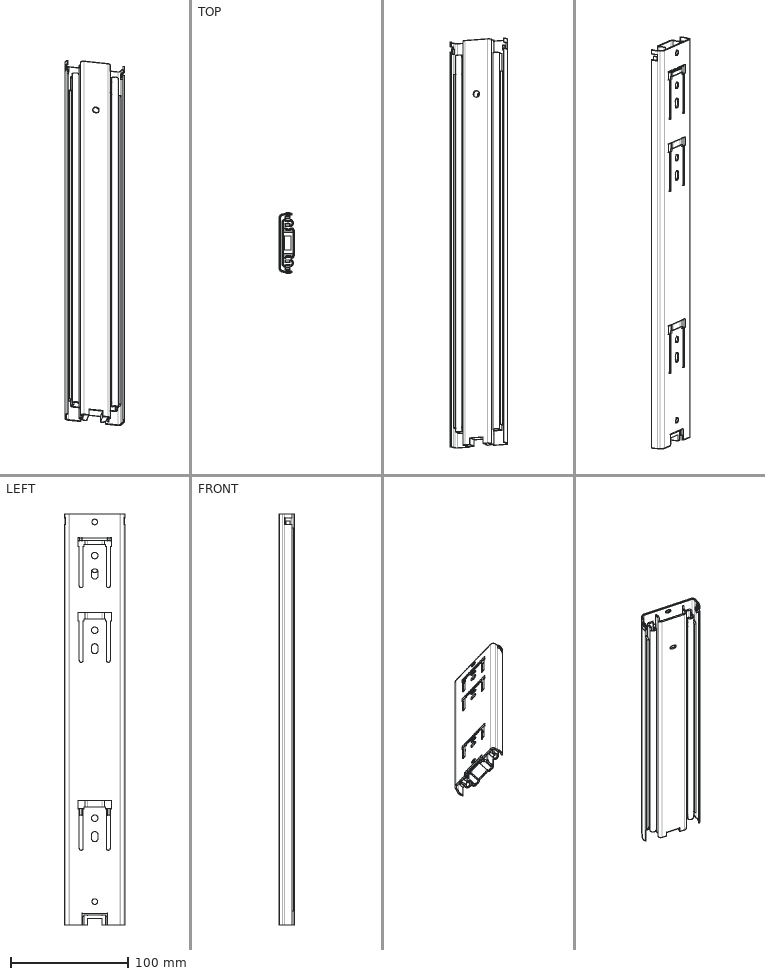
import cadquery as cq

depth = 12.9
width = 51.89
length = 350.0
sheet = 1.2
half_sheet = sheet / 2
half_width = width / 2

outer_web_end_y = 21.7
corner_mid = (1.25, 23.3)
corner_end = (2.8, 24.1)
raceway_start = (4.8, 24.55)
raceway_end = (10.4, raceway_start[1])

middle_web_x = 3.1
middle_bottom = 12.0
middle_top = 338.0
middle_notch_width = 29.0
middle_notch_floor = 327.4

inner_web_x = depth - half_sheet
inner_half_width = 13.0

tongue_tops = [106.0, 266.0, 329.6]
head_half_width = 14.2
head_height = 5.5
hook_height = 7.3
leg_length = 42.3
leg_centre_y = 11.6
leg_width = 3.2
round_hole_drop = 15.0
slot_hole_drop = 30.7
hole_diameter = 5.5
slot_hole_length = 8.5
bridge_base_half_width = 8.2
bridge_top_half_width = 6.3
bridge_rise = 0.5

top_hole_z = 343.2
bottom_hole_z = 20.0
end_hole_diameter = 4.8
through_hole_z = 303.0
outer_notch_width = 21.6
outer_notch_height = 10.0
end_notch_width = 12.0
end_notch_height = 5.5
leg_window_z = 96.3
leg_window_height = 5.5

window_bottom = 341.2
window_height = 5.4
window_start_x = 4.9
lip_stop_start_x = 6.0
lip_stop_width = 3.4
lip_stop_height = 3.0
lip_stop_y = 22.7
lip_stop_root_y = 25.0
lip_stop_overlap = 1.2

retainer_start_x = 5.0
retainer_width = 4.2
outer_retainer_thickness = 1.7
inner_retainer_thickness = 2.3
retainer_bottom = 16.0
retainer_length = 306.0
outer_retainer_y = 21.6
inner_retainer_y = 15.4
stop_top = 8.4
stop_tongue_width = 18.6
stop_body_width = 20.6
stop_chamfer = 1.5
stop_pocket_start_x = 4.5
stop_pocket_end_x = 10.1
stop_pocket_width = 12.2
stop_pocket_depth = 1.5


def box(x0, x1, y0, y1, z0, z1):
    return cq.Workplane("XY").box(x1 - x0, y1 - y0, z1 - z0, centered=False).translate((x0, y0, z0))


def central_box(x0, x1, wide, z0, z1):
    return box(x0, x1, -wide / 2, wide / 2, z0, z1)


def web_holes(diameter, heights, x0, x1):
    points = [(0, z) for z in heights]
    return cq.Workplane("YZ", origin=(x0, 0, 0)).pushPoints(points).circle(diameter / 2).extrude(x1 - x0)


def rail(half_path, height):
    """Sheet-metal channel: trace both mirrored halves of the mid-line and thicken it.

    half_path starts at the web; each later entry is (end,) for a line or (mid, end) for an arc.
    """
    points = [half_path[0]] + [step[-1] for step in half_path[1:]]

    def mirrored(point):
        return (point[0], -point[1])

    path = cq.Workplane("XY").moveTo(*mirrored(points[-1]))
    for index in range(len(points) - 1, 0, -1):
        step = half_path[index]
        end = mirrored(points[index - 1])
        if len(step) == 2:
            path = path.threePointArc(mirrored(step[0]), end)
        else:
            path = path.lineTo(*end)
    path = path.lineTo(*points[0])
    for step in half_path[1:]:
        if len(step) == 2:
            path = path.threePointArc(*step)
        else:
            path = path.lineTo(*step[0])
    return path.wire().offset2D(half_sheet).extrude(height)


def tongue_cut(top):
    """U-shaped cut that frees one mounting tongue, with the two holes in the tongue."""
    head_floor = top - head_height
    cut = central_box(0, sheet, 2 * head_half_width, head_floor, top)
    for side in (-1, 1):
        leg_y = side * leg_centre_y
        leg_bottom = top - leg_length
        hook_inner = 2 * leg_centre_y - head_half_width
        hook_edges = sorted((side * hook_inner, side * head_half_width))
        cut = cut.union(box(0, sheet, *hook_edges, top - hook_height, head_floor))
        leg_round_z = leg_bottom + leg_width / 2
        cut = cut.union(box(0, sheet, leg_y - leg_width / 2, leg_y + leg_width / 2, leg_round_z, head_floor))
        leg_end = cq.Workplane("YZ").center(leg_y, leg_round_z).circle(leg_width / 2).extrude(sheet)
        cut = cut.union(leg_end)
    cut = cut.union(web_holes(hole_diameter, [top - round_hole_drop], 0, sheet))
    slot = (
        cq.Workplane("YZ")
        .center(0, top - slot_hole_drop)
        .slot2D(slot_hole_length, hole_diameter, 90)
        .extrude(sheet)
    )
    return cut.union(slot)


def tongue_bridge(top):
    """Joggled end of the tongue: a strip in the head cut that dips inward.

    The highest strip stops level with the notch in the middle rail.
    """
    floor = top - head_height
    return (
        cq.Workplane("XY", origin=(0, 0, floor))
        .moveTo(0, -bridge_base_half_width)
        .lineTo(bridge_rise, -bridge_top_half_width)
        .lineTo(bridge_rise, bridge_top_half_width)
        .lineTo(0, bridge_base_half_width)
        .lineTo(sheet, bridge_base_half_width)
        .lineTo(sheet, -bridge_base_half_width)
        .close()
        .extrude(min(top, middle_notch_floor) - floor)
    )


def lip_stop(side):
    """Stop bent inward out of the lip window, rooted in the lip below the window."""
    end_x = lip_stop_start_x + lip_stop_width
    root_bottom = window_bottom - lip_stop_overlap
    blade_y = sorted((side * lip_stop_y, side * (lip_stop_y + sheet)))
    root_y = sorted((side * lip_stop_y, side * lip_stop_root_y))
    blade = box(lip_stop_start_x, end_x, *blade_y, root_bottom, window_bottom + lip_stop_height)
    return blade.union(box(lip_stop_start_x, end_x, *root_y, root_bottom, window_bottom))


def make_outer_rail():
    raceway_mid = ((raceway_start[0] + raceway_end[0]) / 2, half_width - half_sheet)
    body = rail(
        [
            (half_sheet, outer_web_end_y),
            (corner_mid, corner_end),
            (raceway_start,),
            (raceway_mid, raceway_end),
        ],
        length,
    )
    for top in tongue_tops:
        body = body.cut(tongue_cut(top)).union(tongue_bridge(top))
    body = body.cut(web_holes(end_hole_diameter, [bottom_hole_z, top_hole_z], 0, sheet))
    body = body.cut(central_box(0, sheet, outer_notch_width, 0, outer_notch_height))
    window = central_box(window_start_x, depth, width, window_bottom, window_bottom + window_height)
    body = body.cut(window)
    for side in (-1, 1):
        body = body.union(lip_stop(side))
    return body


def make_middle_rail():
    body = rail(
        [
            (middle_web_x, 18.0),
            ((3.6, 19.2), (4.8, 19.7)),
            ((7.3, 18.7), (9.8, 19.5)),
            ((11.5, 17.3), (10.4, 14.8)),
        ],
        middle_top - middle_bottom,
    ).translate((0, 0, middle_bottom))
    web_front = middle_web_x - half_sheet
    web_back = middle_web_x + half_sheet
    body = body.cut(central_box(web_front, web_back, middle_notch_width, middle_notch_floor, middle_top))
    body = body.cut(web_holes(hole_diameter, [through_hole_z], web_front, web_back))
    for side in (-1, 1):
        leg_y = side * leg_centre_y
        window = box(
            web_front,
            web_back,
            leg_y - leg_width / 2,
            leg_y + leg_width / 2,
            leg_window_z - leg_window_height / 2,
            leg_window_z + leg_window_height / 2,
        )
        body = body.cut(window)
    return body


def make_inner_rail():
    flange_y = inner_half_width - half_sheet
    body = rail(
        [
            (inner_web_x, 10.4),
            ((11.8, 11.7), (10.6, flange_y)),
            ((7.7, 11.5), (5.0, flange_y)),
        ],
        length,
    )
    web_front = inner_web_x - half_sheet
    body = body.cut(central_box(web_front, depth, end_notch_width, 0, end_notch_height))
    return body.cut(web_holes(hole_diameter, [through_hole_z], web_front, depth))


def make_retainer(centre_y, thickness):
    return box(
        retainer_start_x,
        retainer_start_x + retainer_width,
        centre_y - thickness / 2,
        centre_y + thickness / 2,
        retainer_bottom,
        retainer_bottom + retainer_length,
    )


def make_stop_block():
    """U-shaped end stop with a shallow pocket in its top."""
    tongue_front = middle_web_x - half_sheet
    body_front = middle_web_x + half_sheet
    body_back = inner_web_x - half_sheet
    block = central_box(body_front, body_back, stop_body_width, 0, stop_top)
    block = block.edges(">Z and (<Y or >Y)").chamfer(stop_chamfer)
    block = block.union(central_box(tongue_front, body_front, stop_tongue_width, 0, stop_top))
    block = block.cut(central_box(tongue_front, body_back, end_notch_width, 0, end_notch_height))
    pocket = central_box(
        stop_pocket_start_x, stop_pocket_end_x, stop_pocket_width, stop_top - stop_pocket_depth, stop_top
    )
    return block.cut(pocket)


outer_rail = make_outer_rail()
middle_rail = make_middle_rail()
inner_rail = make_inner_rail()
retainers = []
for side in (-1, 1):
    retainers.append(make_retainer(side * outer_retainer_y, outer_retainer_thickness))
    retainers.append(make_retainer(side * inner_retainer_y, inner_retainer_thickness))
stop_block = make_stop_block()

result = cq.Compound.makeCompound(
    [
        outer_rail.val(),
        middle_rail.val(),
        inner_rail.val(),
        *[retainer.val() for retainer in retainers],
        stop_block.val(),
    ]
)